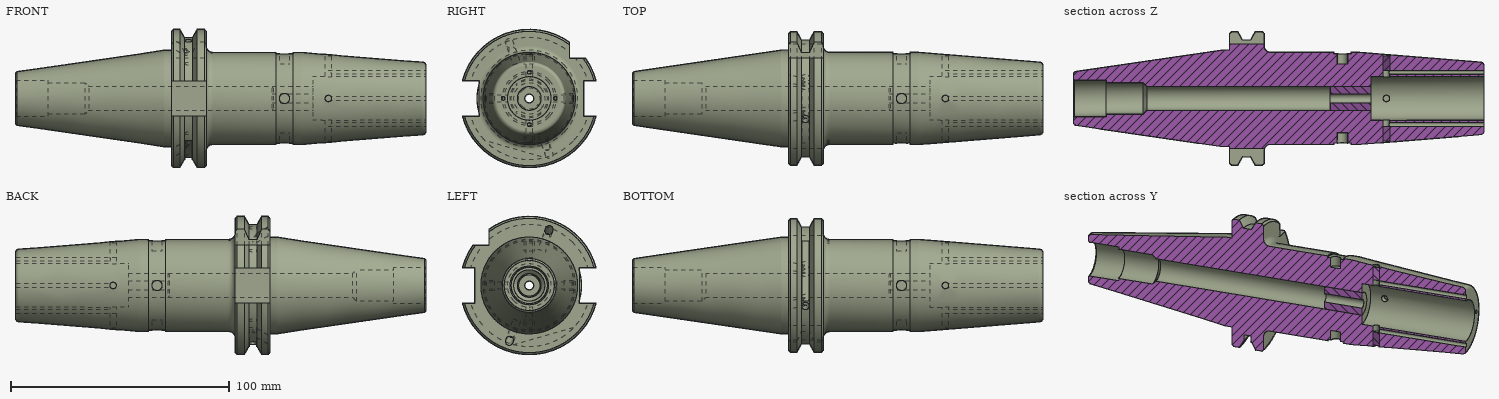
import cadquery as cq
import math

total_length = 188.4
gauge_x = 68.4
flange_start = 71.5
flange_end = 87.6
band_start = 119.5
band_end = 127.4
nose_start = 131.3

gauge_radius = 22.2
taper_ratio = 7 / 48
taper_tip_radius = gauge_radius - taper_ratio * gauge_x
taper_tip_chamfer = 0.8
flange_radius = 31.75
flange_chamfer = 1.0
body_radius = 21.2
band_radius = 20.5
nose_tip_radius = 16.5
nose_tip_round = 1.9
body_fillet = 2.8

groove_x = 79.41
groove_floor_radius = 28.0
groove_floor_width = 3.8
groove_slope = 30.0
groove_flat_width = 3.2
groove_flat_distance = 24.1
groove_flat_angle = -106.0

slot_width = 16.2
slot_floor_plus_y = 25.0
slot_floor_minus_y = 23.0
notch_y = 18.5
notch_z = 18.5

rear_bore_radius = 8.3
rear_bore_depth = 15.0
rear_bore_chamfer = 0.5
thread_radius = 7.2
thread_end = 32.0
screw_radius = 5.5
tool_bore_radius = 10.0
tool_bore_start = 136.5

screw_length = 18.8
screw_chamfer = 0.5
screw_hole_radius = 1.98

balance_hole_x = 123.4
balance_hole_radius = 2.35
balance_hole_depth = 4.7
quarter_turns = [0, 90, 180, 270]

plug_x = 143.5
plug_radius = 1.5
plug_outer_end = 19.5
coolant_hole_radius = 0.85
coolant_circle_radius = 11.96

flange_hole_radius = 1.79
flange_hole_circle = 27.0
flange_hole_angle = 109.6
flange_hole_tilt = 32.0
flange_hole_depth = 9.5
groove_hole_radius = 1.79
groove_hole_bottom = 17.0


def revolve_about_x(outline):
    return outline.close().revolve(360, (0, 0, 0), (1, 0, 0))


def turn(shape, degrees):
    return shape.rotate((0, 0, 0), (1, 0, 0), degrees)


def rod(radius, x_start, x_end, y=0.0):
    """Rod pointing along +X."""
    return cq.Workplane("YZ").workplane(offset=x_start).center(y, 0).circle(radius).extrude(x_end - x_start)


def radial_rod(radius, x, r_start, r_end):
    """Rod pointing along +Y."""
    return cq.Workplane("XZ", origin=(x, r_start, 0)).circle(radius).extrude(-(r_end - r_start))


def turned_blank():
    blank = revolve_about_x(
        cq.Workplane("XY")
        .moveTo(0, 0)
        .lineTo(0, taper_tip_radius)
        .lineTo(gauge_x, gauge_radius)
        .lineTo(flange_start, gauge_radius)
        .lineTo(flange_start, flange_radius - flange_chamfer)
        .lineTo(flange_start + flange_chamfer, flange_radius)
        .lineTo(flange_end - flange_chamfer, flange_radius)
        .lineTo(flange_end, flange_radius - flange_chamfer)
        .lineTo(flange_end, body_radius + body_fillet)
        .radiusArc((flange_end + body_fillet, body_radius), -body_fillet)
        .lineTo(band_start, body_radius)
        .lineTo(band_start, band_radius)
        .lineTo(band_end, band_radius)
        .lineTo(band_end, body_radius)
        .lineTo(nose_start, body_radius)
        .lineTo(total_length, nose_tip_radius)
        .lineTo(total_length, 0)
    )
    blank = blank.faces("<X").chamfer(taper_tip_chamfer)
    return blank.faces(">X").edges().fillet(nose_tip_round)


def groove_cutter():
    half_floor = groove_floor_width / 2
    wall_run = (flange_radius - groove_floor_radius) * math.tan(math.radians(groove_slope))
    half_mouth = half_floor + wall_run
    ring = revolve_about_x(
        cq.Workplane("XY")
        .moveTo(groove_x - half_floor, groove_floor_radius)
        .lineTo(groove_x - half_mouth, flange_radius)
        .lineTo(groove_x + half_mouth, flange_radius)
        .lineTo(groove_x + half_floor, groove_floor_radius)
    )
    flat = cq.Workplane("XY").box(groove_flat_width, flange_radius, 2 * flange_radius)
    flat = flat.translate((groove_x, groove_flat_distance + flange_radius / 2, 0))
    return ring.union(turn(flat, groove_flat_angle))


def flange_box(y_start, y_end, z_start, z_end):
    """Box as wide as the flange, for cuts that pass right through it."""
    size = (flange_end - flange_start, y_end - y_start, z_end - z_start)
    return cq.Workplane("XY").box(*size, centered=False).translate((flange_start, y_start, z_start))


def bore_cutter():
    return revolve_about_x(
        cq.Workplane("XY")
        .moveTo(0, 0)
        .lineTo(0, rear_bore_radius + rear_bore_chamfer)
        .lineTo(rear_bore_chamfer, rear_bore_radius)
        .lineTo(rear_bore_depth, rear_bore_radius)
        .lineTo(rear_bore_depth, thread_radius)
        .lineTo(thread_end, thread_radius)
        .lineTo(thread_end + thread_radius - screw_radius, screw_radius)
        .lineTo(tool_bore_start, screw_radius)
        .lineTo(tool_bore_start, tool_bore_radius)
        .lineTo(total_length, tool_bore_radius)
        .lineTo(total_length, 0)
    )


def flange_channel():
    """Sloping channel that starts on the taper side of the flange."""
    channel = rod(flange_hole_radius, -flange_hole_depth, flange_hole_depth)
    channel = channel.rotate((0, 0, 0), (0, 0, 1), -flange_hole_tilt)
    channel = channel.translate((flange_start, flange_hole_circle, 0))
    return channel.intersect(flange_box(0, flange_radius, -flange_radius, flange_radius))


def make_housing():
    body = turned_blank().cut(groove_cutter())

    half_slot = slot_width / 2
    body = body.cut(flange_box(slot_floor_plus_y, flange_radius, -half_slot, half_slot))
    body = body.cut(flange_box(-flange_radius, -slot_floor_minus_y, -half_slot, half_slot))
    body = body.cut(flange_box(notch_y, flange_radius, notch_z, flange_radius))

    body = body.cut(bore_cutter())

    balance_hole_bottom = band_radius - balance_hole_depth
    balance_hole = radial_rod(balance_hole_radius, balance_hole_x, balance_hole_bottom, body_radius)
    plug_hole = radial_rod(plug_radius, plug_x, 0, body_radius)
    coolant_hole = rod(coolant_hole_radius, plug_x, total_length, coolant_circle_radius)
    for angle in quarter_turns:
        for hole in (balance_hole, plug_hole, coolant_hole):
            body = body.cut(turn(hole, angle))

    groove_hole = radial_rod(groove_hole_radius, groove_x, groove_hole_bottom, flange_radius)
    for angle in (flange_hole_angle, flange_hole_angle + 180):
        body = body.cut(turn(flange_channel(), angle))
        body = body.cut(turn(groove_hole, angle))
    return body


def make_plug():
    plug_inner_end = coolant_circle_radius + coolant_hole_radius
    return radial_rod(plug_radius, plug_x, plug_inner_end, plug_outer_end)


def make_stop_screw():
    screw_start = tool_bore_start - screw_length
    screw = rod(screw_radius, screw_start, tool_bore_start)
    screw = screw.faces("<X").chamfer(screw_chamfer)
    return screw.cut(rod(screw_hole_radius, screw_start, tool_bore_start))


housing = make_housing()
stop_screw = make_stop_screw()
plugs = [turn(make_plug(), angle) for angle in quarter_turns]
result = cq.Compound.makeCompound([housing.val(), stop_screw.val(), *[plug.val() for plug in plugs]])